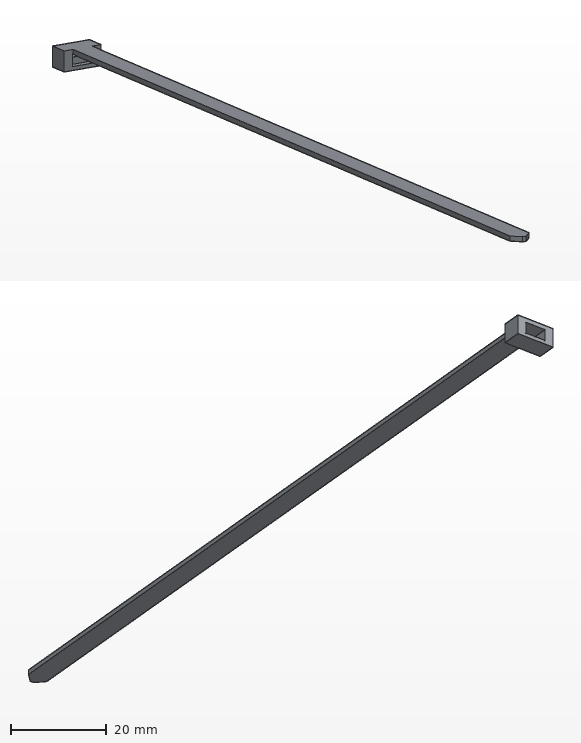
import cadquery as cq

total_length = 176.6
head_length = 4.6
head_width = 9.2
head_height = 4.6

strap_width = 4.8
strap_thickness = 1.13
tip_length = 2.0
tip_width = strap_width - 2 * tip_length

slot_width = 5.0
slot_height = 2.6
slot_top = -1.0
slot_floor = slot_top - slot_height

wedge_height = 1.6
wedge_length = wedge_height
wedge_start = (head_length - wedge_length) / 2
wedge_end = wedge_start + wedge_length


def head_block(width, height, bottom):
    """Block as long as the head, centred in Y, standing on the level Z = bottom."""
    return (
        cq.Workplane("XY")
        .workplane(offset=bottom)
        .box(head_length, width, height, centered=(False, True, False))
    )


def make_strap():
    """Flat band running from the far face of the head to the tapered tip."""
    half_width = strap_width / 2
    half_tip = tip_width / 2
    shoulder = total_length - tip_length
    outline = [
        (head_length, -half_width),
        (shoulder, -half_width),
        (total_length, -half_tip),
        (total_length, half_tip),
        (shoulder, half_width),
        (head_length, half_width),
    ]
    return cq.Workplane("XY").polyline(outline).close().extrude(-strap_thickness)


def make_wedge():
    """Ramp across the slot width that rises toward the strap and ends in an upright face."""
    profile = [
        (wedge_start, slot_floor),
        (wedge_end, slot_floor),
        (wedge_end, slot_floor + wedge_height),
    ]
    return cq.Workplane("XZ").polyline(profile).close().extrude(slot_width / 2, both=True)


head = head_block(head_width, head_height, -head_height)
slot = head_block(slot_width, slot_height, slot_floor)

result = head.cut(slot).union(make_wedge()).union(make_strap())